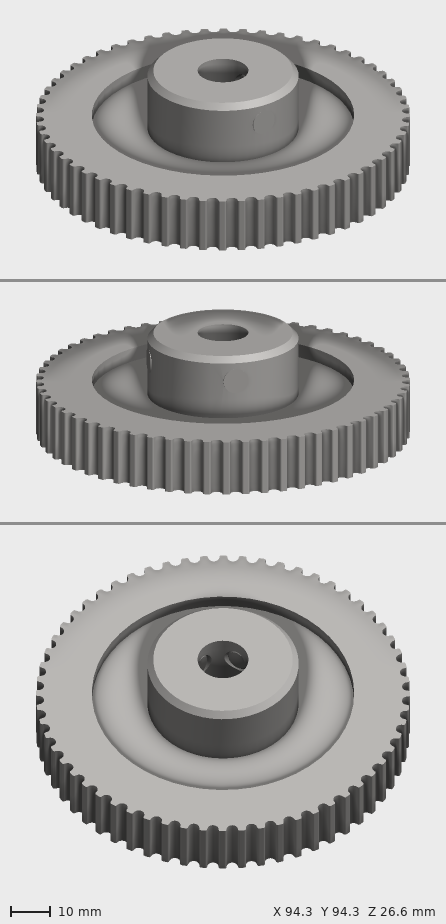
import cadquery as cq
import math

tooth_count = 60
outer_radius = 94.4 / 2
rim_height = 13.95
groove_depth = 2.0
groove_radius = 1.4
flank_length = 0.4
corner_radius = 0.5

recess_radius = 33.1
recess_depth = 3.5

total_height = 26.6
hub_radius = 38.2 / 2
hub_chamfer = 1.5
bore_radius = 6.4

screw_radius = 3.2
screw_tip_chamfer = 0.6
screw_tip_distance = 6.5
screw_height = (rim_height + total_height) / 2
screw_directions = (0, 90)


def offset_point(start, distance, angle):
    """Point at a distance and direction (radians) from a start point."""
    return (start[0] + distance * math.cos(angle), start[1] + distance * math.sin(angle))


def corner_points(middle, side):
    """Tooth corner beside the groove at angle middle; side is -1 or +1 around the rim.

    Returns the corner arc's start on the rim, its midpoint, its end on the
    flank, and the point where the flank meets the groove arc.
    """
    origin = (0, 0)
    groove_distance = outer_radius - groove_depth + groove_radius
    corner_distance = outer_radius - corner_radius
    radius_sum = groove_radius + corner_radius
    center_gap = math.hypot(radius_sum, flank_length)
    corner_cosine = (groove_distance**2 + corner_distance**2 - center_gap**2) / (
        2 * groove_distance * corner_distance
    )

    outward = middle + side * math.acos(corner_cosine)
    groove_center = offset_point(origin, groove_distance, middle)
    corner_center = offset_point(origin, corner_distance, outward)
    to_groove = math.atan2(groove_center[1] - corner_center[1], groove_center[0] - corner_center[0])
    to_flank = to_groove + side * math.atan2(flank_length, radius_sum)
    halfway = math.atan2(
        math.sin(outward) + math.sin(to_flank),
        math.cos(outward) + math.cos(to_flank),
    )
    return (
        offset_point(corner_center, corner_radius, outward),
        offset_point(corner_center, corner_radius, halfway),
        offset_point(corner_center, corner_radius, to_flank),
        offset_point(groove_center, -groove_radius, to_flank),
    )


def toothed_outline():
    """Closed outline: round grooves between teeth that follow the rim circle."""
    pitch_angle = 2 * math.pi / tooth_count
    outline = cq.Workplane("XY").moveTo(*corner_points(0, -1)[0])
    for index in range(tooth_count):
        middle = index * pitch_angle
        next_middle = (index + 1) % tooth_count * pitch_angle
        entry_rim, entry_mid, entry_flank, entry_groove = corner_points(middle, -1)
        exit_rim, exit_mid, exit_flank, exit_groove = corner_points(middle, 1)
        groove_bottom = offset_point((0, 0), outer_radius - groove_depth, middle)
        tooth_top = offset_point((0, 0), outer_radius, middle + pitch_angle / 2)
        outline = (
            outline.threePointArc(entry_mid, entry_flank)
            .lineTo(*entry_groove)
            .threePointArc(groove_bottom, exit_groove)
            .lineTo(*exit_flank)
            .threePointArc(exit_mid, exit_rim)
            .threePointArc(tooth_top, corner_points(next_middle, -1)[0])
        )
    return outline.close()


def disc(radius, bottom, top):
    return cq.Workplane("XY").workplane(offset=bottom).circle(radius).extrude(top - bottom)


def radial_rod(start, end):
    """Rod of the screw's radius along +X, at the screw height."""
    return (
        cq.Workplane("YZ")
        .workplane(offset=start)
        .center(0, screw_height)
        .circle(screw_radius)
        .extrude(end - start)
    )


rim = toothed_outline().extrude(rim_height)
rim = rim.cut(disc(recess_radius, rim_height - recess_depth, rim_height))
hub = disc(hub_radius, 0, total_height).faces(">Z").chamfer(hub_chamfer)
body = rim.union(hub).cut(disc(bore_radius, 0, total_height))

screw_hole = radial_rod(0, hub_radius)
screw = radial_rod(screw_tip_distance, hub_radius).faces("<X").chamfer(screw_tip_chamfer)
for direction in screw_directions:
    body = body.cut(screw_hole.rotate((0, 0, 0), (0, 0, 1), direction))
    body = body.union(screw.rotate((0, 0, 0), (0, 0, 1), direction))

result = body.solids()